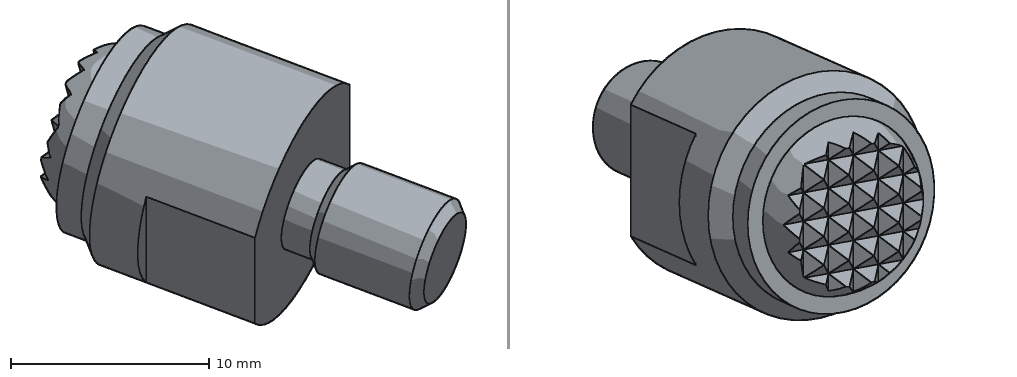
import cadquery as cq
import math

collar_front_x = 1.9
collar_length = 1.4
shoulder_x = 13.0
thread_start_x = 14.6
stud_end_x = 21.0

housing_diameter = 13.0
collar_diameter = 11.2
neck_diameter = 4.9
thread_diameter = 6.0
across_flats = 11.0
flat_length = 6.1

ball_diameter = 9.8
socket_mouth_diameter = 9.4
serration_pitch = 1.5
serration_depth = serration_pitch / 2

housing_radius = housing_diameter / 2
collar_radius = collar_diameter / 2
neck_radius = neck_diameter / 2
thread_radius = thread_diameter / 2
ball_radius = ball_diameter / 2
mouth_radius = socket_mouth_diameter / 2
ball_center_x = collar_front_x + math.sqrt(ball_radius**2 - mouth_radius**2)
collar_end_x = collar_front_x + collar_length
collar_cone_length = housing_radius - collar_radius
thread_chamfer = thread_radius - neck_radius


def make_ball_blank():
    """Full sphere with its poles on the X axis, used for the ball and for its socket."""
    return (
        cq.Workplane("XY")
        .moveTo(ball_center_x - ball_radius, 0)
        .threePointArc((ball_center_x, ball_radius), (ball_center_x + ball_radius, 0))
        .close()
        .revolve(360, (0, 0, 0), (1, 0, 0))
    )


def make_turned_housing():
    """Body, threaded stud and undercut neck as one revolved solid."""
    return (
        cq.Workplane("XY")
        .moveTo(collar_front_x, 0)
        .lineTo(collar_front_x, collar_radius)
        .lineTo(collar_end_x, collar_radius)
        .lineTo(collar_end_x + collar_cone_length, housing_radius)
        .lineTo(shoulder_x, housing_radius)
        .lineTo(shoulder_x, neck_radius)
        .lineTo(thread_start_x, neck_radius)
        .lineTo(thread_start_x + thread_chamfer, thread_radius)
        .lineTo(stud_end_x - thread_chamfer, thread_radius)
        .lineTo(stud_end_x, neck_radius)
        .lineTo(stud_end_x, 0)
        .close()
        .revolve(360, (0, 0, 0), (1, 0, 0))
    )


def make_wrench_flat(side):
    """Block that cuts one wrench flat on the +Y (side = 1) or -Y (side = -1) side."""
    flat_depth = (housing_diameter - across_flats) / 2
    return cq.Workplane("XY").box(flat_length, flat_depth, housing_diameter).translate(
        (shoulder_x - flat_length / 2, side * (across_flats + flat_depth) / 2, 0)
    )


def make_housing():
    housing = make_turned_housing().cut(make_ball_blank())
    for side in (-1, 1):
        housing = housing.cut(make_wrench_flat(side))
    return housing


def make_groove_cutter():
    """Saw-tooth bar running along Z; removes everything ahead of the tips and the V grooves."""
    grooves_per_side = math.ceil(ball_radius / serration_pitch)
    half_width = (grooves_per_side + 0.5) * serration_pitch
    front_x = ball_center_x - ball_diameter
    profile = [(front_x, half_width), (front_x, -half_width), (0, -half_width)]
    for index in range(-grooves_per_side, grooves_per_side + 1):
        groove_y = index * serration_pitch
        profile.append((serration_depth, groove_y))
        profile.append((0, groove_y + serration_pitch / 2))
    return cq.Workplane("XY").polyline(profile).close().extrude(ball_radius, both=True)


def make_ball():
    """Ball whose exposed cap is cut by two crossing sets of grooves into pyramids."""
    grooves_along_z = make_groove_cutter()
    grooves_along_y = grooves_along_z.rotate((0, 0, 0), (1, 0, 0), 90)
    return make_ball_blank().cut(grooves_along_z).cut(grooves_along_y)


housing = make_housing()
ball = make_ball()

result = cq.Compound.makeCompound([housing.solids().val(), ball.solids().val()])